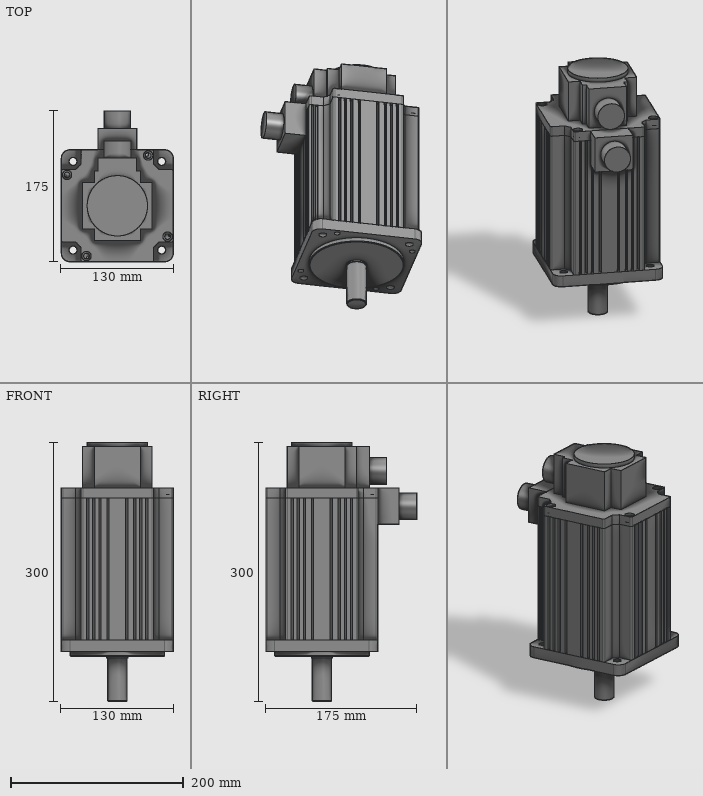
import cadquery as cq


motor_width = 130.0
notch_inner_half = 42.0
notch_chamfer = 6.3
notch_edge_radius = 2.0
flange_thickness = 13.5
flange_corner_radius = 10.2
bolt_hole_spacing = 102.5
bolt_hole_diameter = 9.0
boss_diameter = 109.8
boss_height = 5.5
boss_chamfer = 1.0
housing_height = 164.5
cap_thickness = 11.7

groove_offsets = [10.8, 20.0, 27.3, 34.2]
groove_width = 2.7
groove_depth = 5.5
back_groove_depth = 7.2

notch_groove_offsets = [56.5, 61.0]
notch_groove_depth = 2.7

tie_hole_side_offset = 58.2
tie_hole_along_offset = 35.7
tie_hole_diameter = 6.5
tie_counterbore_diameter = 10.8
tie_counterbore_depth = 7.8

shaft_diameter = 22.8
shaft_reach = 57.5
shaft_end_chamfer = 1.0
collar_diameter = 24.5
collar_height = 1.8

encoder_width = 80.7
encoder_arm_width = 53.5
encoder_height = 48.0
outlet_width = 44.5
outlet_reach = 55.2
lid_diameter = 70.0
lid_height = 4.8

encoder_plug_diameter = 31.5
encoder_plug_length = 19.8
encoder_plug_drop = 28.5
power_box_width = 45.0
power_box_height = 42.3
power_box_depth = 24.5
power_plug_diameter = 31.0
power_plug_length = 20.5

motor_half = motor_width / 2
housing_top = flange_thickness + housing_height
cap_top = housing_top + cap_thickness
encoder_top = cap_top + encoder_height
power_box_reach = motor_half + power_box_depth
power_plug_reach = power_box_reach + power_plug_length


def box_between(x_range, y_range, z_range):
    """Axis-aligned box given by its limits along X, Y and Z."""
    size = [limits[1] - limits[0] for limits in (x_range, y_range, z_range)]
    corner = cq.Vector(x_range[0], y_range[0], z_range[0])
    return cq.Workplane("XY").box(*size, centered=False).translate(corner)


def cylinder_up(diameter, z_bottom, height):
    """Vertical cylinder on the motor axis."""
    return cq.Workplane("XY", origin=(0, 0, z_bottom)).circle(diameter / 2).extrude(height)


def cylinder_back(diameter, y_start, y_end, z_axis):
    """Cylinder along +Y whose axis lies in the YZ plane."""
    profile = cq.Workplane("XZ", origin=(0, y_start, z_axis)).circle(diameter / 2)
    return profile.extrude(y_start - y_end)


def around_axis(shape):
    """The shape in each of the four quarter turns about the motor axis, as one cutting tool."""
    turned = shape
    for angle in (90, 180, 270):
        turned = turned.union(shape.rotate((0, 0, 0), (0, 0, 1), angle))
    return turned


def notched_block(z_bottom, height):
    """Square block with a notch in each vertical corner."""
    block = box_between(
        (-motor_half, motor_half), (-motor_half, motor_half), (z_bottom, z_bottom + height)
    )
    wall = notch_inner_half
    chamfer_end = notch_inner_half + notch_chamfer
    notch = (
        cq.Workplane("XY", origin=(0, 0, z_bottom))
        .polyline(
            [
                (wall, chamfer_end),
                (chamfer_end, wall),
                (motor_width, wall),
                (motor_width, motor_width),
                (wall, motor_width),
            ]
        )
        .close()
        .extrude(height)
    )
    block = block.cut(around_axis(notch))
    reach = (chamfer_end + motor_half) / 2
    inner_edges = cq.selectors.BoxSelector((-reach, -reach, z_bottom), (reach, reach, z_bottom + height))
    vertical_edges = cq.selectors.ParallelDirSelector(cq.Vector(0, 0, 1))
    outer_edges = cq.selectors.SubtractSelector(vertical_edges, inner_edges)
    return block.edges(outer_edges).fillet(notch_edge_radius)


def tie_holes(diameter, z_bottom, height):
    """Vertical cylinders on the four tie bolt axes."""
    hole = (
        cq.Workplane("XY", origin=(-tie_hole_side_offset, tie_hole_along_offset, z_bottom))
        .circle(diameter / 2)
        .extrude(height)
    )
    return around_axis(hole)


def make_shaft():
    shaft = cylinder_up(shaft_diameter, -shaft_reach, shaft_reach - boss_height)
    shaft = shaft.faces("<Z").chamfer(shaft_end_chamfer)
    collar = cylinder_up(collar_diameter, -boss_height - collar_height, collar_height)
    return shaft.union(collar)


def make_flange():
    plate = cq.Workplane("XY").rect(motor_width, motor_width).extrude(flange_thickness)
    plate = plate.edges("|Z").fillet(flange_corner_radius)
    plate = (
        plate.faces(">Z")
        .workplane()
        .rect(bolt_hole_spacing, bolt_hole_spacing, forConstruction=True)
        .vertices()
        .hole(bolt_hole_diameter)
    )
    plate = plate.cut(tie_holes(tie_hole_diameter, 0, flange_thickness))
    boss = cylinder_up(boss_diameter, -boss_height, boss_height)
    boss = boss.faces("<Z").chamfer(boss_chamfer)
    return plate.union(boss)


def side_grooves(depth):
    """Groove cutters for the +Y face."""
    grooves = cq.Workplane("XY")
    for offset in groove_offsets:
        for center in (-offset, offset):
            grooves = grooves.union(
                box_between(
                    (center - groove_width / 2, center + groove_width / 2),
                    (motor_half - depth, motor_half),
                    (flange_thickness, housing_top),
                )
            )
    return grooves


def make_housing():
    housing = notched_block(flange_thickness, housing_height)
    housing = housing.cut(around_axis(side_grooves(groove_depth)))
    housing = housing.cut(side_grooves(back_groove_depth))
    for center in notch_groove_offsets:
        groove = box_between(
            (-notch_inner_half, -notch_inner_half + notch_groove_depth),
            (center - groove_width / 2, center + groove_width / 2),
            (flange_thickness, housing_top),
        )
        housing = housing.cut(groove)
    return housing


def make_cap():
    cap = notched_block(housing_top, cap_thickness)
    cap = cap.cut(tie_holes(tie_hole_diameter, housing_top, cap_thickness))
    counterbore_floor = cap_top - tie_counterbore_depth
    return cap.cut(tie_holes(tie_counterbore_diameter, counterbore_floor, tie_counterbore_depth))


def make_encoder():
    long_half = encoder_width / 2
    arm_half = encoder_arm_width / 2
    outlet_half = outlet_width / 2
    z_range = (cap_top, encoder_top)
    encoder = box_between((-long_half, long_half), (-arm_half, arm_half), z_range)
    encoder = encoder.union(box_between((-arm_half, arm_half), (-long_half, long_half), z_range))
    encoder = encoder.union(box_between((-outlet_half, outlet_half), (0, outlet_reach), z_range))
    return encoder.union(cylinder_up(lid_diameter, encoder_top, lid_height))


def make_encoder_plug():
    z_axis = encoder_top - encoder_plug_drop
    return cylinder_back(encoder_plug_diameter, outlet_reach, outlet_reach + encoder_plug_length, z_axis)


def make_power_box():
    half = power_box_width / 2
    return box_between((-half, half), (motor_half, power_box_reach), (cap_top - power_box_height, cap_top))


def make_power_plug():
    z_axis = cap_top - power_box_height / 2
    return cylinder_back(power_plug_diameter, power_box_reach, power_plug_reach, z_axis)


shaft = make_shaft()
flange = make_flange()
housing = make_housing()
cap = make_cap()
encoder = make_encoder()
encoder_plug = make_encoder_plug()
power_box = make_power_box()
power_plug = make_power_plug()

bodies = [shaft, flange, housing, cap, encoder, encoder_plug, power_box, power_plug]
result = cq.Compound.makeCompound([body.solids().val() for body in bodies])